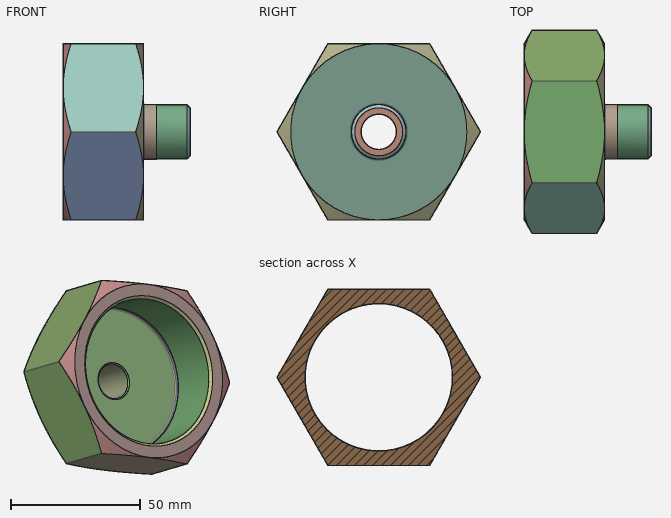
import cadquery as cq
import math

hexagon_sides = 6
across_flats = 68.0
corner_fillet = 0.3
body_length = 31.0
end_bevel_angle = 30.0
end_face_diameter = 67.9

overall_length = 49.0
spigot_diameter = 20.95
collar_diameter = 21.16
collar_length = 4.9
collar_root_fillet = 0.4
spigot_tip_chamfer = 1.25

socket_diameter = 56.66
socket_depth = 24.7
socket_mouth_diameter = 58.8
relief_diameter = 56.86
relief_length = 2.0
relief_floor_fillet = 0.4

bore_diameter = 13.5
bore_chamfer = 0.5


def cylinder(diameter, start, length):
    """Round bar along X, beginning at x = start."""
    return cq.Workplane("YZ", origin=(start, 0, 0)).circle(diameter / 2).extrude(length)


def hexagonal_body():
    """Hexagonal bar with rounded corners and both ends bevelled."""
    across_corners = across_flats / math.cos(math.pi / hexagon_sides)
    corner_radius = across_corners / 2
    face_radius = end_face_diameter / 2
    bevel_length = (corner_radius - face_radius) * math.tan(math.radians(end_bevel_angle))
    hexagon = (
        cq.Workplane("YZ")
        .polygon(hexagon_sides, across_corners)
        .extrude(body_length)
        .edges("|X")
        .fillet(corner_fillet)
    )
    turned_envelope = (
        cq.Workplane("XY")
        .moveTo(0, 0)
        .lineTo(0, face_radius)
        .lineTo(bevel_length, corner_radius)
        .lineTo(body_length - bevel_length, corner_radius)
        .lineTo(body_length, face_radius)
        .lineTo(body_length, 0)
        .close()
        .revolve(360, (0, 0, 0), (1, 0, 0))
    )
    return hexagon.intersect(turned_envelope)


def collar_and_spigot():
    """Collar with a filleted root, then the spigot with a chamfered tip."""
    collar_radius = collar_diameter / 2
    spigot_radius = spigot_diameter / 2
    return (
        cq.Workplane("XY")
        .moveTo(body_length, 0)
        .lineTo(body_length, collar_radius + collar_root_fillet)
        .radiusArc((body_length + collar_root_fillet, collar_radius), -collar_root_fillet)
        .lineTo(body_length + collar_length, collar_radius)
        .lineTo(body_length + collar_length, spigot_radius)
        .lineTo(overall_length - spigot_tip_chamfer, spigot_radius)
        .lineTo(overall_length, spigot_radius - spigot_tip_chamfer)
        .lineTo(overall_length, 0)
        .close()
        .revolve(360, (0, 0, 0), (1, 0, 0))
    )


def socket_cutter():
    """Socket with a 45 degree mouth chamfer and a relief with a rounded floor corner."""
    mouth_chamfer = (socket_mouth_diameter - socket_diameter) / 2
    mouth = cq.Workplane(
        obj=cq.Solid.makeCone(
            socket_mouth_diameter / 2,
            socket_diameter / 2,
            mouth_chamfer,
            dir=cq.Vector(1, 0, 0),
        )
    )
    relief = cylinder(relief_diameter, socket_depth - relief_length, relief_length)
    relief = relief.faces(">X").edges().fillet(relief_floor_fillet)
    return cylinder(socket_diameter, 0, socket_depth - relief_length).union(mouth).union(relief)


def bore_cutter():
    """Through bore, chamfered where it opens into the socket floor."""
    bore = cylinder(bore_diameter, socket_depth, overall_length - socket_depth)
    chamfer = cq.Workplane(
        obj=cq.Solid.makeCone(
            bore_diameter / 2 + bore_chamfer,
            bore_diameter / 2,
            bore_chamfer,
            pnt=cq.Vector(socket_depth, 0, 0),
            dir=cq.Vector(1, 0, 0),
        )
    )
    return bore.union(chamfer)


result = hexagonal_body().union(collar_and_spigot()).cut(socket_cutter()).cut(bore_cutter()).solids()